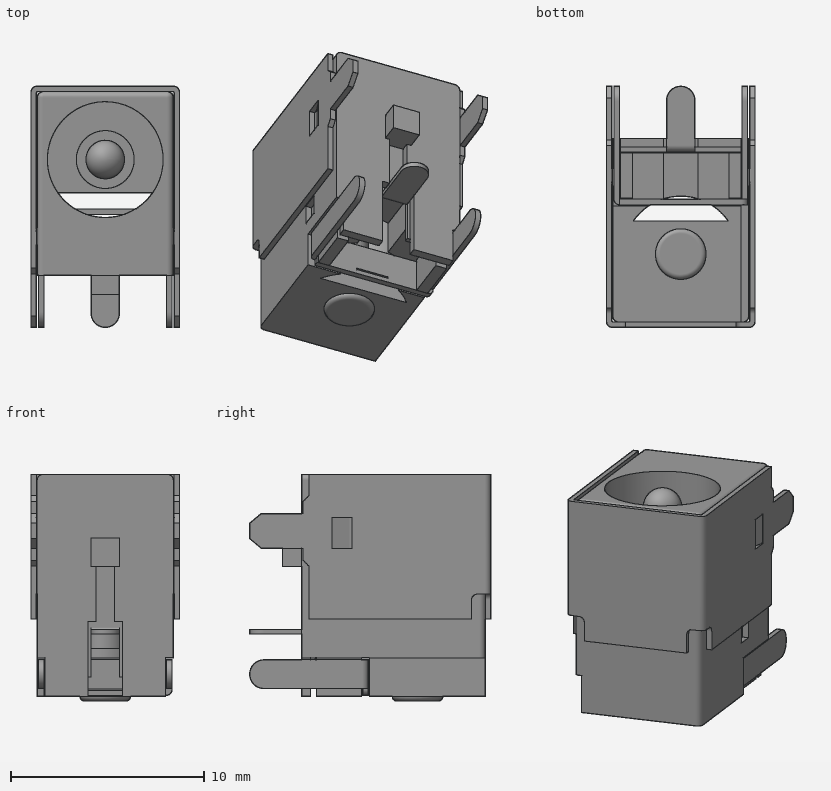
import cadquery as cq


housing_width = 7.05
housing_depth = 9.51
housing_height = 11.5
edge_radius = 0.3
pin_reach = 2.7

shell_thickness = 0.29
shell_side_gap = 0.04
shell_height = 7.5
shell_inner_radius = 0.05
shell_front_setback = 0.38
corner_notch_size = 1.0
corner_notch_height = 1.3
shell_leg_width = 1.8
shell_leg_drop = 2.02
shell_leg_tip_width = 0.8
shell_leg_tip_length = 0.6
shoulder_setback = 0.08
shoulder_length = 0.62
window_front = 1.58
window_back = 2.61
window_height = 1.6
latch_back = 2.5

bore_radius = 3.0
bore_center_y = 6.0
floor_height = 2.0
floor_front = 4.28

side_recess_x = 3.12
foot_cut_back = 3.5
web_slot_front = 3.1
side_pocket_front = 2.8
side_pocket_back = 3.78
side_pocket_bottom = 2.88
side_pocket_depth = 0.32

tab_width = 1.48
boss_length = 1.0
boss_bottom = 6.72
groove_width = 0.98
channel_width = 1.78
channel_top = 3.88
foot_cavity_width = 5.0

spring_slot_front = 0.46
spring_slot_width = 0.3
spring_thickness = 0.25
spring_bend_radius = 0.08
spring_tab_top = 3.48
spring_foot = 1.0

terminal_thickness = 0.3
terminal_outer_x = 3.46
terminal_front = 3.15
terminal_leg_bottom = 0.4
terminal_leg_width = 1.5
web_bottom = 0.05
slit_bottom = 0.3
slit_top = 0.39

center_pin_radius = 1.0
collar_radius = 1.5
collar_height = 0.48
rivet_radius = 1.31
rivet_height = 0.25

half_width = housing_width / 2
shell_inner_x = half_width + shell_side_gap
shell_outer_x = shell_inner_x + shell_thickness
shell_back = housing_depth + shell_thickness
shell_bottom = housing_height - shell_height
shell_leg_top = housing_height - shell_leg_drop
shell_leg_bottom = shell_leg_top - shell_leg_width
terminal_leg_top = terminal_leg_bottom + terminal_leg_width
terminal_inner_x = terminal_outer_x - terminal_thickness


def box(x_range, y_range, z_range):
    """Box spanning the given (low, high) ranges."""
    (x0, x1), (y0, y1), (z0, z1) = x_range, y_range, z_range
    return cq.Workplane("XY").box(x1 - x0, y1 - y0, z1 - z0, centered=False).translate((x0, y0, z0))


def centered_box(width, y_range, z_range):
    """Box that is symmetric about X = 0."""
    return box((-width / 2, width / 2), y_range, z_range)


def cylinder(radius, z_range):
    """Upright cylinder on the axis of the bore."""
    z0, z1 = z_range
    return cq.Workplane("XY", origin=(0, bore_center_y, z0)).circle(radius).extrude(z1 - z0)


def latch_bump():
    """Ramp on the left side that rises toward the front and catches the shell window."""
    ramp = [
        (-half_width, window_front),
        (-half_width - shell_thickness, window_front),
        (-half_width, latch_back),
    ]
    return (
        cq.Workplane("XY", origin=(0, 0, shell_leg_bottom))
        .polyline(ramp).close().extrude(window_height)
    )


def cut_bore(body):
    """Plug bore, whose floor leaves the front part open through the underside."""
    body = body.cut(cylinder(bore_radius, (floor_height, housing_height)))
    open_front = cylinder(bore_radius, (0, floor_height)).intersect(
        centered_box(housing_width, (0, floor_front), (0, floor_height))
    )
    pin_hole = cylinder(center_pin_radius, (0, floor_height))
    return body.cut(open_front).cut(pin_hole)


def cut_foot(body):
    """Narrow the foot for the terminal legs and open the cross slot for the terminal web."""
    heights = (0, floor_height)
    left_recess = box((-half_width, -side_recess_x), (0, foot_cut_back), heights)
    right_recess = box((side_recess_x, half_width), (0, housing_depth), heights)
    web_slot = centered_box(housing_width, (web_slot_front, foot_cut_back), heights)
    return body.cut(left_recess).cut(right_recess).cut(web_slot)


def cut_spring_seat(body):
    """Slot for the spring plate, the groove and tab channel in front, and the hollow foot behind."""
    slot_back = spring_slot_front + spring_slot_width
    slot = centered_box(2 * side_recess_x, (spring_slot_front, slot_back), (0, boss_bottom))
    groove = centered_box(groove_width, (0, spring_slot_front), (channel_top, boss_bottom))
    channel = centered_box(channel_width, (0, foot_cut_back), (0, channel_top))
    cavity = centered_box(foot_cavity_width, (slot_back, web_slot_front), (0, floor_height))
    return body.cut(slot).cut(groove).cut(channel).cut(cavity)


def make_housing():
    body = centered_box(housing_width, (0, housing_depth), (0, housing_height))
    body = body.edges("|Z and >Y").fillet(edge_radius)
    body = body.faces(">Z").edges("not <Y").fillet(edge_radius)
    body = cut_spring_seat(cut_foot(cut_bore(body)))
    side_pocket = box(
        (-half_width, -half_width + side_pocket_depth),
        (side_pocket_front, side_pocket_back),
        (side_pocket_bottom, shell_bottom),
    )
    locating_boss = centered_box(tab_width, (-boss_length, 0), (boss_bottom, boss_bottom + tab_width))
    bump = latch_bump()
    return body.cut(side_pocket).union(locating_boss).union(bump).union(bump.mirror("YZ"))


def shell_side_profile():
    """Side wall outline in the YZ plane, from the back to the tip of the solder leg."""
    wall_front = shell_front_setback
    rise = shell_front_setback - shoulder_setback
    tip_drop = (shell_leg_width - shell_leg_tip_width) / 2
    shoulder_top = shell_leg_top + shoulder_length
    shoulder_bottom = shell_leg_bottom - shoulder_length
    return [
        (shell_back, housing_height),
        (wall_front, housing_height),
        (wall_front, shoulder_top + rise),
        (shoulder_setback, shoulder_top),
        (shoulder_setback, shell_leg_top),
        (shell_leg_tip_length - pin_reach, shell_leg_top),
        (-pin_reach, shell_leg_top - tip_drop),
        (-pin_reach, shell_leg_bottom + tip_drop),
        (shell_leg_tip_length - pin_reach, shell_leg_bottom),
        (shoulder_setback, shell_leg_bottom),
        (shoulder_setback, shoulder_bottom),
        (wall_front, shoulder_bottom - rise),
        (wall_front, shell_bottom),
        (shell_back, shell_bottom),
    ]


def corner_notch():
    """Relief at the foot of the left back corner, rounded where it meets the two walls."""
    notch = box(
        (-shell_outer_x, corner_notch_size - shell_outer_x),
        (shell_back - corner_notch_size, shell_back),
        (shell_bottom, shell_bottom + corner_notch_height),
    )
    return notch.faces(">Z").edges("<Y or >X").fillet(edge_radius)


def make_shell():
    """Folded sheet around the back and both sides, with a solder leg on each side."""
    shell = (
        cq.Workplane("YZ", origin=(-shell_outer_x, 0, 0))
        .polyline(shell_side_profile()).close().extrude(2 * shell_outer_x)
        .edges("|Z and >Y").fillet(edge_radius)
    )
    inside = centered_box(2 * shell_inner_x, (-pin_reach, housing_depth), (0, housing_height))
    windows = centered_box(
        2 * shell_outer_x, (window_front, window_back), (shell_leg_bottom, shell_leg_bottom + window_height)
    )
    notch = corner_notch()
    shell = shell.cut(inside.edges("|Z and >Y").fillet(shell_inner_radius)).cut(windows)
    return shell.cut(notch).cut(notch.mirror("YZ"))


def make_center_pin():
    """Round-ended pin with a collar on the bore floor and a riveted head below."""
    dome_center_z = housing_height - center_pin_radius
    shank = cylinder(center_pin_radius, (0, dome_center_z))
    dome = cq.Workplane("XY", origin=(0, bore_center_y, dome_center_z)).sphere(center_pin_radius)
    collar = cylinder(collar_radius, (floor_height, floor_height + collar_height))
    rivet = (
        cq.Workplane("XZ", origin=(0, bore_center_y, 0))
        .lineTo(rivet_radius, 0)
        .radiusArc((rivet_radius - rivet_height, -rivet_height), rivet_height)
        .lineTo(0, -rivet_height).close()
        .revolve(360, (0, 0, 0), (0, 1, 0))
    )
    return shank.union(dome).union(collar).union(rivet)


def make_spring_contact():
    """Flat plate with two feet; the strip between them is bent forward as a solder tab."""
    tab_bottom = spring_tab_top - spring_thickness
    bend_top = spring_tab_top + spring_bend_radius
    bend_y = spring_slot_front - spring_bend_radius
    plate_y = (spring_slot_front, spring_slot_front + spring_thickness)

    plate = centered_box(2 * side_recess_x, plate_y, (spring_foot, boss_bottom))
    opening = centered_box(tab_width, plate_y, (spring_foot, bend_top))
    bend = (
        cq.Workplane("YZ", origin=(-tab_width / 2, bend_y, bend_top))
        .circle(spring_bend_radius + spring_thickness).circle(spring_bend_radius).extrude(tab_width)
        .intersect(centered_box(tab_width, (bend_y, plate_y[1]), (tab_bottom, bend_top)))
    )
    tip_radius = tab_width / 2
    tab = (
        cq.Workplane("XY", origin=(0, 0, tab_bottom))
        .moveTo(tip_radius, bend_y)
        .lineTo(tip_radius, tip_radius - pin_reach)
        .threePointArc((0, -pin_reach), (-tip_radius, tip_radius - pin_reach))
        .lineTo(-tip_radius, bend_y).close().extrude(spring_thickness)
    )
    return plate.cut(opening).union(bend).union(tab)


def make_pin_terminal():
    """Cross web in the foot of the housing, bent forward at both ends into round-ended solder legs."""
    web_back = terminal_front + terminal_thickness
    web_y = (terminal_front, web_back)
    tip_radius = terminal_leg_width / 2
    bent_strip = (
        cq.Workplane("YZ", origin=(-terminal_outer_x, 0, 0))
        .moveTo(web_back, terminal_leg_bottom)
        .lineTo(tip_radius - pin_reach, terminal_leg_bottom)
        .threePointArc(
            (-pin_reach, terminal_leg_bottom + tip_radius),
            (tip_radius - pin_reach, terminal_leg_top),
        )
        .lineTo(web_back, terminal_leg_top).close().extrude(2 * terminal_outer_x)
        .edges("|Z and >Y").fillet(terminal_thickness)
    )
    between_legs = centered_box(
        2 * terminal_inner_x, (-pin_reach, terminal_front), (terminal_leg_bottom, terminal_leg_top)
    )
    skirt = box((-terminal_inner_x, terminal_outer_x), web_y, (web_bottom, terminal_leg_bottom))
    skirt = skirt.edges(">X and <Z").fillet(terminal_thickness)
    slit = centered_box(channel_width, web_y, (slit_bottom, slit_top))
    return bent_strip.cut(between_legs).union(skirt).cut(slit)


housing = make_housing()
shell = make_shell()
center_pin = make_center_pin()
spring_contact = make_spring_contact()
pin_terminal = make_pin_terminal()

result = cq.Compound.makeCompound([
    housing.val(),
    shell.val(),
    center_pin.val(),
    spring_contact.val(),
    pin_terminal.val(),
])